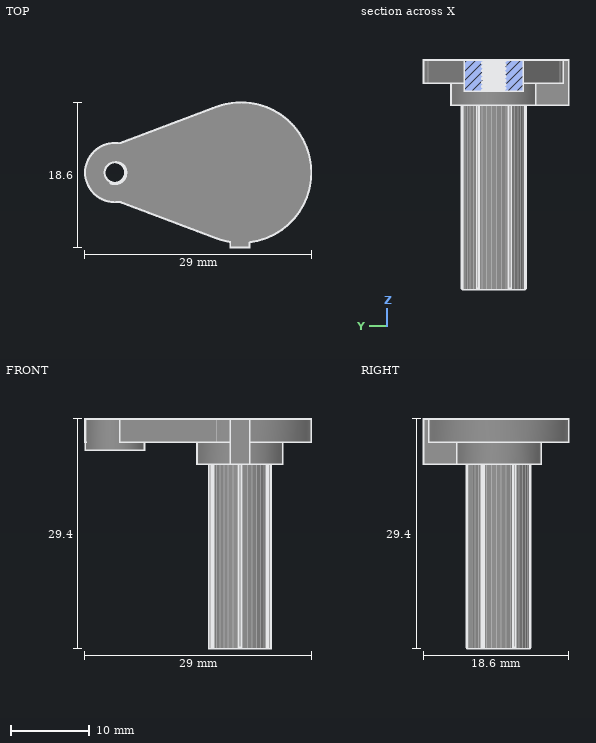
import cadquery as cq
import math


total_height = 29.4
plate_thickness = 3.0
nose_height = 4.0
collar_height = 5.8
plate_bottom = total_height - plate_thickness
nose_bottom = total_height - nose_height
collar_bottom = total_height - collar_height

plate_large_radius = 9.0
plate_small_radius = 3.0
plate_center_distance = 17.0
plate_large_x = 0.15
plate_small_x = plate_large_x - plate_center_distance

nose_x = -16.0
nose_diameter = 7.6
thread_minor_diameter = 2.6
thread_major_diameter = 3.0
thread_pitch = 0.5
thread_root_width = thread_pitch / 8
thread_mouth_width = thread_pitch * 3 / 4
thread_overlap = 0.05

collar_diameter = 11.0
key_width = 2.5
key_reach = 9.6

shaft_diameter = 8.0
shaft_sides = 40
rib_count = 6
rib_width = 0.33
rib_tip_radius = 4.13
rib_chamfer = 0.18
first_rib_angle = -90.0


def disc(x, diameter, bottom):
    """Cylinder centred on (x, 0), running from bottom up to the top face."""
    return (
        cq.Workplane("XY", origin=(x, 0, bottom))
        .circle(diameter / 2)
        .extrude(total_height - bottom)
    )


def make_plate():
    slope = math.asin((plate_large_radius - plate_small_radius) / plate_center_distance)

    def tangent_point(center_x, radius):
        return center_x - radius * math.sin(slope), radius * math.cos(slope)

    large_x, large_y = tangent_point(plate_large_x, plate_large_radius)
    small_x, small_y = tangent_point(plate_small_x, plate_small_radius)
    return (
        cq.Workplane("XY", origin=(0, 0, plate_bottom))
        .moveTo(small_x, small_y)
        .lineTo(large_x, large_y)
        .threePointArc((plate_large_x + plate_large_radius, 0), (large_x, -large_y))
        .lineTo(small_x, -small_y)
        .threePointArc((plate_small_x - plate_small_radius, 0), (small_x, small_y))
        .close()
        .extrude(plate_thickness)
    )


def make_key():
    return (
        cq.Workplane("XY", origin=(0, -key_reach / 2, collar_bottom))
        .rect(key_width, key_reach)
        .extrude(collar_height)
    )


def make_shaft():
    return (
        cq.Workplane("XY")
        .transformed(rotate=(0, 0, 180 / shaft_sides))
        .polygon(shaft_sides, shaft_diameter)
        .extrude(collar_bottom)
    )


def make_rib(angle):
    """Radial rib along the shaft, with its lower outer edge chamfered."""
    return (
        cq.Workplane("XZ")
        .lineTo(rib_tip_radius - rib_chamfer, 0)
        .lineTo(rib_tip_radius, rib_chamfer)
        .lineTo(rib_tip_radius, collar_bottom)
        .lineTo(0, collar_bottom)
        .close()
        .extrude(rib_width / 2, both=True)
        .rotate((0, 0, 0), (0, 0, 1), angle)
    )


def make_bore():
    return disc(nose_x, thread_minor_diameter, nose_bottom)


def make_thread_groove():
    """Helical V groove that overruns the nose by one pitch at each end."""
    start_z = nose_bottom - thread_pitch
    inner_radius = thread_minor_diameter / 2 - thread_overlap
    outer_radius = thread_major_diameter / 2
    helix = cq.Wire.makeHelix(thread_pitch, nose_height + 2 * thread_pitch, inner_radius)
    return (
        cq.Workplane("XZ")
        .moveTo(inner_radius, -thread_mouth_width / 2)
        .lineTo(outer_radius, -thread_root_width / 2)
        .lineTo(outer_radius, thread_root_width / 2)
        .lineTo(inner_radius, thread_mouth_width / 2)
        .close()
        .sweep(cq.Workplane(obj=helix), isFrenet=True)
        .translate((nose_x, 0, start_z))
    )


body = make_plate()
body = body.union(disc(nose_x, nose_diameter, nose_bottom))
body = body.union(disc(0, collar_diameter, collar_bottom))
body = body.union(make_key())

shaft = make_shaft()
for rib_index in range(rib_count):
    shaft = shaft.union(make_rib(first_rib_angle + rib_index * 360 / rib_count))

body = body.union(shaft)
body = body.cut(make_thread_groove())
result = body.cut(make_bore())